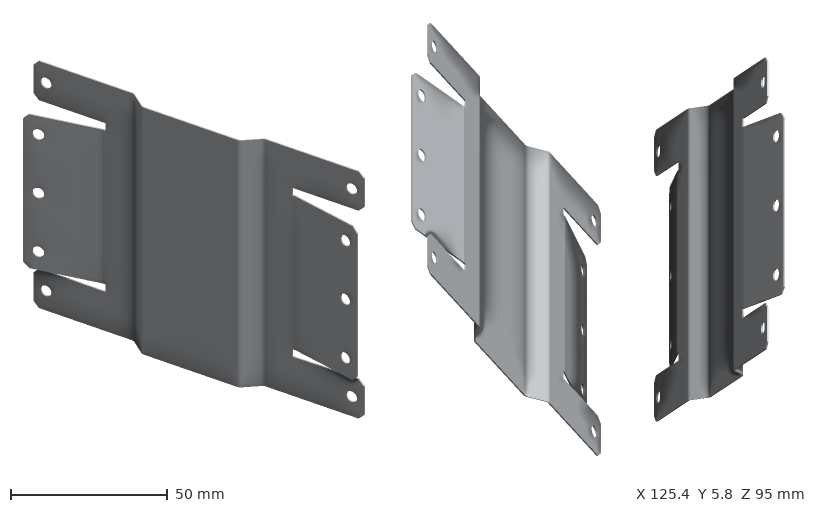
import cadquery as cq
import math

thickness = 0.5
height = 95.0
corner_cut = 2.0
hole_diameter = 4.0
cutter_reach = 2 * thickness

channel_depth = 5.0
channel_foot = 18.2
channel_mouth = 24.5
inner_bend_radius = 1.9
outer_bend_radius = inner_bend_radius + thickness

arm_tip = 62.0
arm_height = 15.0
arm_hole_x = 57.3
arm_hole_z = 40.0

window_x = 35.0
window_half_height = height / 2 - arm_height

flap_half_height = 29.6
flap_tip = 62.7
flap_hinge = 36.1
overall_depth = 5.8
flap_hole_edge = 5.1
flap_hole_pitch = 22.6

flap_angle = math.atan2(overall_depth - thickness, flap_tip - flap_hinge)
flap_cos = math.cos(flap_angle)
flap_sin = math.sin(flap_angle)
flap_tip_front_x = flap_tip - thickness * flap_sin
flap_length = (flap_tip_front_x - flap_hinge) / flap_cos


def formed_plate():
    """Full-height sheet with the rounded channel pressed into it."""
    wall_angle = math.atan2(channel_depth, channel_mouth - channel_foot)
    miter = thickness * math.tan(wall_angle / 2)
    foot_front = (channel_foot, -channel_depth - thickness)
    mouth_front = (channel_mouth, -thickness)
    mouth_back = (channel_mouth + miter, 0)
    foot_back = (channel_foot + miter, -channel_depth)

    right_front = [foot_front, mouth_front, (arm_tip, -thickness)]
    right_back = [(arm_tip, 0), mouth_back, foot_back]
    right_half = right_front + right_back
    left_half = [(-x, y) for x, y in reversed(right_half)]
    plate = cq.Workplane("XY").polyline(right_half + left_half).close().extrude(height / 2, both=True)

    bends = [
        (foot_front, outer_bend_radius),
        (mouth_front, inner_bend_radius),
        (mouth_back, outer_bend_radius),
        (foot_back, inner_bend_radius),
    ]
    for (x, y), radius in bends:
        for side in (1, -1):
            corner = cq.selectors.NearestToPointSelector((side * x, y, 0))
            plate = plate.edges(corner).fillet(radius)
    return plate


def cut_windows(plate):
    """Open both sides between the arms, leaving the four arms standing."""
    window_width = arm_tip - window_x
    windows = (
        cq.Workplane("XZ")
        .pushPoints([(side * (window_x + window_width / 2), 0) for side in (1, -1)])
        .rect(window_width, 2 * window_half_height)
        .extrude(cutter_reach, both=True)
    )
    return plate.cut(windows)


def finish_arms(plate):
    """Chamfer the arm corners and drill one hole in each arm."""
    plate = plate.faces("<X or >X").edges("|Y").chamfer(corner_cut)
    holes = (
        cq.Workplane("XZ")
        .rect(2 * arm_hole_x, 2 * arm_hole_z, forConstruction=True)
        .vertices()
        .circle(hole_diameter / 2)
        .extrude(cutter_reach, both=True)
    )
    return plate.cut(holes)


def right_flap():
    """Flap on the +X side: a short flat root, a sharp bend and the tilted panel."""
    hinge_back_x = flap_hinge + thickness * math.tan(flap_angle / 2)
    profile = [
        (window_x, 0),
        (window_x, -thickness),
        (flap_hinge, -thickness),
        (flap_tip_front_x, -overall_depth),
        (flap_tip, -overall_depth + thickness * flap_cos),
        (hinge_back_x, 0),
    ]
    flap = cq.Workplane("XY").polyline(profile).close().extrude(flap_half_height, both=True)
    flap = flap.faces(">X").edges("not |Z").chamfer(corner_cut)

    panel_front = cq.Plane(
        origin=(flap_hinge, -thickness, 0),
        xDir=(flap_cos, -flap_sin, 0),
        normal=(flap_sin, flap_cos, 0),
    )
    hole_x = flap_length - flap_hole_edge
    holes = (
        cq.Workplane(panel_front)
        .pushPoints([(hole_x, row * flap_hole_pitch) for row in (-1, 0, 1)])
        .circle(hole_diameter / 2)
        .extrude(cutter_reach, both=True)
    )
    return flap.cut(holes)


plate = finish_arms(cut_windows(formed_plate()))
flap = right_flap()
result = plate.union(flap).union(flap.mirror("YZ"))